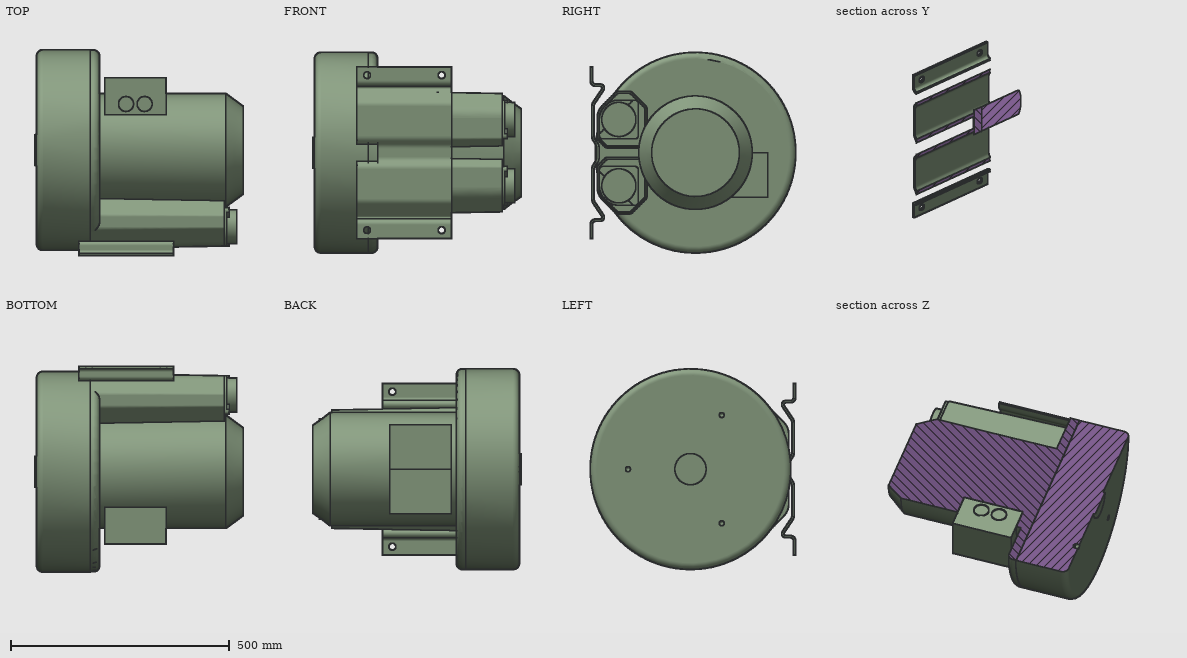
import cadquery as cq
import math

OVERLAP = 5.0

drum_radius = 229.5
drum_front_x = 4.5
joint_x = 127.5
drum_back_x = 149.0
drum_rim_fillet = 15.0

hub_radius = 36.0
hub_edge_fillet = 3.0
screw_hole_radius = 5.5
screw_hole_depth = 9.5
screw_hole_tip_depth = 3.5
screw_hole_count = 3
screw_circle_radius = 142.5

motor_radius = 129.7
motor_cone_x = 437.0
motor_end_x = 477.0
motor_end_radius = 100.0

box_front_x = 160.0
box_back_x = 300.5
box_inner_y = 81.0
box_outer_y = 165.5
box_top_z = 0.0
box_bottom_z = -math.sqrt(motor_radius**2 - box_inner_y**2)
gland_x_places = (209.0, 251.5)
gland_y = 105.5
gland_radius = 17.0
gland_depth = 2.5

silencer_end_x = 433.5
silencer_taper = 1.0
silencer_outer_y = -224.5
silencer_inner_y = -110.0
silencer_bottom_z = 10.0
silencer_top_z = 140.5
outer_top_chamfer = 45.0
outer_bottom_chamfer = 20.0
inner_top_chamfer = 36.5
outer_top_bend = 39.5
small_bend = 11.5

filler_half_width = math.sqrt(drum_radius**2 - silencer_outer_y**2)
filler_inner_y = -191.0

port_y = -175.0
port_z = 76.0
port_radius = 39.0
port_end_x = 461.5
port_plate_half_size = 44.5
port_plate_corner = 7.0
port_plate_thin = 5.5
port_plate_thick = 11.0
port_plate_step_offset = 8.0

bracket_front_x = 101.0
bracket_back_x = 317.5
sheet = 5.5
foot_outer_y = -241.0
pad_outer_y = -237.0
slope_tilt = 34.0
foot_end_z = 196.0
leg_z = 154.0
pad_top_z = 110.5
pad_bottom_z = 33.0
web_half_height = 15.7
foot_bend = 10.5
crease_bend = 6.5
pad_bend = 15.5
web_bend = 19.0
mount_hole_radius = 7.5
mount_hole_z = 177.0
mount_hole_x_places = (124.5, 295.0)


def cylinder(start_x, end_x, radius, y=0, z=0):
    """Round bar parallel to the X axis."""
    return cq.Workplane("YZ", origin=(start_x, y, z)).circle(radius).extrude(end_x - start_x)


def make_cover():
    """Front half of the drum with its hub and three drilled holes."""
    cover = cylinder(drum_front_x, joint_x, drum_radius).faces("<X").edges().fillet(drum_rim_fillet)
    hub = cylinder(0, drum_front_x + OVERLAP, hub_radius).faces("<X").edges().fillet(hub_edge_fillet)
    cover = cover.union(hub)
    drill_profile = [
        (drum_front_x, 0),
        (drum_front_x, screw_hole_radius),
        (drum_front_x + screw_hole_depth, screw_hole_radius),
        (drum_front_x + screw_hole_depth + screw_hole_tip_depth, 0),
    ]
    drill = (
        cq.Workplane("XY")
        .polyline(drill_profile)
        .close()
        .revolve(360, (0, 0), (1, 0))
        .translate((0, screw_circle_radius, 0))
    )
    for i in range(screw_hole_count):
        cover = cover.cut(drill.rotate((0, 0, 0), (1, 0, 0), i * 360 / screw_hole_count))
    return cover


def make_motor():
    """Motor cylinder with its tapered end."""
    profile = [
        (drum_back_x - OVERLAP, 0),
        (drum_back_x - OVERLAP, motor_radius),
        (motor_cone_x, motor_radius),
        (motor_end_x, motor_end_radius),
        (motor_end_x, 0),
    ]
    return cq.Workplane("XY").polyline(profile).close().revolve(360, (0, 0), (1, 0))


def box_block(inner_y, bottom_z, top_z):
    """Block over the footprint of the terminal box, from inner_y out to its outer side."""
    block = cq.Workplane("XY", origin=(box_front_x, inner_y, bottom_z))
    size = (box_back_x - box_front_x, box_outer_y - inner_y, top_z - bottom_z)
    return block.box(*size, centered=False)


def make_motor_with_box():
    """Motor with the recess above its terminal box, and two shallow cable entries in the box top."""
    motor = make_motor().union(box_block(box_inner_y, box_bottom_z, box_top_z))
    motor = motor.cut(box_block(box_inner_y, box_top_z, motor_radius))
    for x in gland_x_places:
        entry = cq.Workplane("XY", origin=(x, gland_y, box_top_z)).circle(gland_radius)
        motor = motor.cut(entry.extrude(-gland_depth))
    return motor


def make_duct():
    """Upper silencer duct, tapering towards its end."""
    outline = [
        (silencer_outer_y, silencer_bottom_z + outer_bottom_chamfer),
        (silencer_outer_y, silencer_top_z - outer_top_chamfer),
        (silencer_outer_y + outer_top_chamfer, silencer_top_z),
        (silencer_inner_y - inner_top_chamfer, silencer_top_z),
        (silencer_inner_y, silencer_top_z - inner_top_chamfer),
        (silencer_inner_y, silencer_bottom_z),
        (silencer_outer_y + outer_bottom_chamfer, silencer_bottom_z),
    ]
    section = cq.Sketch().polygon(outline + outline[:1])
    main_bend = cq.selectors.NearestToPointSelector((*outline[1], 0))
    section = section.vertices(main_bend).fillet(outer_top_bend).reset()
    for corner in outline[:1] + outline[2:]:
        nearest = cq.selectors.NearestToPointSelector((*corner, 0))
        section = section.vertices(nearest).fillet(small_bend).reset()
    duct = cq.Workplane("YZ", origin=(joint_x, 0, 0)).placeSketch(section)
    return duct.extrude(silencer_end_x - joint_x, taper=silencer_taper)


def make_port():
    """End plate, thinner on the outer side of a diagonal step, and the round port on it."""
    size = 2 * port_plate_half_size
    plate_section = (
        cq.Sketch()
        .rect(size, size)
        .vertices("<X and >Y")
        .fillet(port_plate_half_size)
        .reset()
        .vertices(">X or <Y")
        .fillet(port_plate_corner)
    )
    plate = cq.Workplane("YZ").placeSketch(plate_section).extrude(port_plate_thick)
    step = (
        cq.Workplane("YZ", origin=(port_plate_thin, 0, 0))
        .transformed(rotate=(0, 0, 45))
        .center(0, size / 2 + port_plate_step_offset)
        .rect(2 * size, size)
        .extrude(port_plate_thick)
    )
    plate = plate.cut(step).translate((silencer_end_x, port_y, port_z))
    return plate.union(cylinder(silencer_end_x, port_end_x, port_radius, port_y, port_z))


def make_filler():
    """Block between the silencers, flush with the drum surface."""
    block = cq.Workplane("XY").box(
        drum_back_x - joint_x,
        drum_radius + filler_inner_y,
        2 * filler_half_width,
        centered=(False, False, True),
    )
    block = block.translate((joint_x, -drum_radius, 0))
    return block.intersect(cylinder(joint_x, drum_back_x, drum_radius))


def make_blower():
    """Rear drum half in one piece with the motor, terminal box, silencers and ports."""
    blower = cylinder(joint_x, drum_back_x, drum_radius).faces(">X").edges().fillet(drum_rim_fillet)
    blower = blower.union(make_filler()).union(make_motor_with_box())
    silencer = make_duct().union(make_port())
    return blower.union(silencer).union(silencer.mirror("XY"))


def make_bracket():
    """Bent sheet with four mounting holes, cut back where it meets the drum."""
    foot_y = foot_outer_y + sheet / 2
    pad_y = pad_outer_y + sheet / 2
    slope = math.tan(math.radians(slope_tilt))
    center_line = [
        (foot_y, foot_end_z),
        (foot_y, leg_z),
        (pad_y + slope * (leg_z - pad_top_z), leg_z),
        (pad_y, pad_top_z),
        (pad_y, pad_bottom_z),
        (pad_y + slope * (pad_bottom_z - web_half_height), web_half_height),
        (pad_y + slope * (pad_bottom_z - web_half_height), 0),
    ]
    path = cq.Wire.makePolygon([cq.Vector(bracket_front_x, y, z) for y, z in center_line])
    bends = [foot_bend, crease_bend, pad_bend, pad_bend, web_bend]
    for corner in range(len(bends), 0, -1):
        path = path.fillet(bends[corner - 1], path.Vertices()[corner : corner + 1])
    length = bracket_back_x - bracket_front_x
    half = (
        cq.Workplane("XY", origin=(bracket_front_x + length / 2, foot_y, foot_end_z))
        .rect(length, sheet)
        .sweep(cq.Workplane(obj=path))
    )
    holes = cq.Workplane("XZ", origin=(0, foot_outer_y - OVERLAP, 0))
    holes = holes.pushPoints([(x, mount_hole_z) for x in mount_hole_x_places])
    half = half.cut(holes.circle(mount_hole_radius).extrude(-(sheet + 2 * OVERLAP)))
    return half.union(half.mirror("XY"))


cover = make_cover()
blower = make_blower()
bracket = make_bracket().cut(cover).cut(blower)

result = cq.Compound.makeCompound([cover.val(), blower.val(), bracket.val()])